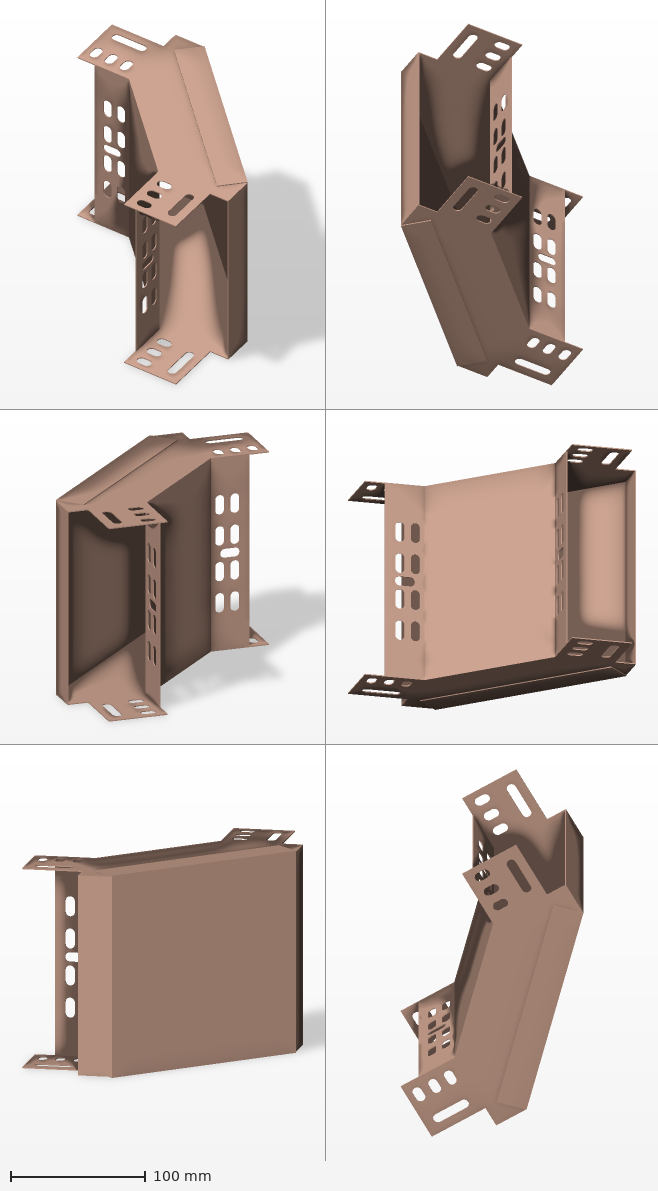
import cadquery as cq
import math

SPAN = 186.5
HEIGHT = 153.2
SHEET = 0.8

TAB_LENGTH = 45.9
TAB_WIDTH = 46.2
SHOULDER = 16.0
SIDE_WALL = 26.0
WALL_SETBACK = 15.3
FLANGE_DEPTH = 23.1

SLOT_WIDTH = 7.0
LONG_SLOT_LENGTH = 29.5
LONG_SLOT_START = 7.8
LONG_SLOT_INSET = 10.6
SHORT_SLOT_LENGTH = 12.0
SHORT_SLOT_INSET = 12.3
SHORT_SLOT_FIRST = 8.5
SHORT_SLOT_PITCH = 13.5
SHORT_SLOT_COUNT = 3
WALL_SLOT_LENGTH = 15.3
WALL_SLOT_COLUMNS = (26.8, 38.8)
WALL_SLOT_HEIGHTS = (-38.4, -14.0, 14.0, 38.4)
CENTRE_SLOT_MIDDLE = 30.8

PLATE_TOP = HEIGHT / 2 - SHEET
TAB_OUTER = SPAN - SHOULDER
TAB_INNER = TAB_OUTER - TAB_WIDTH
CORNER = TAB_LENGTH + SIDE_WALL
MITRE = SHEET * math.tan(math.radians(45 / 2))


def swapped(points):
    """Mirror points about the line X = Y, in reverse order to continue an outline."""
    return [(y, x) for x, y in reversed(points)]


def prism(points, bottom, top):
    return cq.Workplane("XY").workplane(offset=bottom).polyline(points).close().extrude(top - bottom)


def symmetric_prism(half_outline, bottom, top):
    return prism(half_outline + swapped(half_outline), bottom, top)


def mirrored_about_diagonal(solid):
    """Mirror a solid about the vertical plane X = Y."""
    half_turn = solid.rotate((0, 0, 0), (1, 1, 0), 180)
    return half_turn.mirror("XY")


def plate(bottom):
    """Elbow-shaped plate that fits inside the cover walls."""
    edge = SPAN - SHEET
    half_outline = [
        (TAB_LENGTH, TAB_INNER),
        (0, TAB_INNER),
        (0, TAB_OUTER),
        (TAB_LENGTH, TAB_OUTER),
        (TAB_LENGTH, edge),
        (CORNER - MITRE, edge),
    ]
    return symmetric_prism(half_outline, bottom, bottom + SHEET)


def inner_wall():
    """Wall along part of both tabs and the inner diagonal, joining the two plates."""
    half_outline = [
        (TAB_LENGTH, TAB_INNER),
        (WALL_SETBACK, TAB_INNER),
        (WALL_SETBACK, TAB_INNER + SHEET),
        (TAB_LENGTH + MITRE, TAB_INNER + SHEET),
    ]
    return symmetric_prism(half_outline, -PLATE_TOP, PLATE_TOP)


def plate_slots():
    """Cutters for the slots in both plates at the -X tab."""
    middle = LONG_SLOT_START + LONG_SLOT_LENGTH / 2
    row = [SHORT_SLOT_FIRST + i * SHORT_SLOT_PITCH for i in range(SHORT_SLOT_COUNT)]
    long_slot = (
        cq.Workplane("XY")
        .center(middle, TAB_OUTER - LONG_SLOT_INSET)
        .slot2D(LONG_SLOT_LENGTH, SLOT_WIDTH)
    )
    short_slots = (
        cq.Workplane("XY")
        .pushPoints([(x, TAB_INNER + SHORT_SLOT_INSET) for x in row])
        .slot2D(SHORT_SLOT_LENGTH, SLOT_WIDTH, 90)
    )
    return long_slot.extrude(HEIGHT / 2, both=True).union(short_slots.extrude(HEIGHT / 2, both=True))


def wall_slots():
    """Cutters for the slots in the inner wall of the -X tab."""
    upright_slots = (
        cq.Workplane("XZ", origin=(0, TAB_INNER, 0))
        .pushPoints([(x, z) for x in WALL_SLOT_COLUMNS for z in WALL_SLOT_HEIGHTS])
        .slot2D(WALL_SLOT_LENGTH, SLOT_WIDTH, 90)
    )
    level_slot = (
        cq.Workplane("XZ", origin=(CENTRE_SLOT_MIDDLE, TAB_INNER, 0))
        .slot2D(WALL_SLOT_LENGTH, SLOT_WIDTH)
    )
    reach = 2 * SHEET
    return upright_slots.extrude(reach, both=True).union(level_slot.extrude(reach, both=True))


def make_elbow():
    """Channel of two plates and the inner wall, with slotted tabs."""
    body = plate(PLATE_TOP - SHEET).union(plate(-PLATE_TOP)).union(inner_wall())
    for slots in (plate_slots(), wall_slots()):
        body = body.cut(slots).cut(mirrored_about_diagonal(slots))
    return body


def cover_wall():
    """Outer diagonal wall with a straight side wall at each end."""
    outer_side = [(TAB_LENGTH, SPAN), (CORNER, SPAN)]
    inner_side = [(TAB_LENGTH, SPAN - SHEET), (CORNER - MITRE, SPAN - SHEET)]
    half_outline = inner_side[::-1] + outer_side
    return symmetric_prism(half_outline, -PLATE_TOP, PLATE_TOP)


def cover_flange(bottom):
    """Rectangular flange lying on a plate along the diagonal."""
    shift = FLANGE_DEPTH / math.sqrt(2)
    half_outline = [(CORNER - shift, SPAN - shift), (CORNER, SPAN)]
    return symmetric_prism(half_outline, bottom, bottom + SHEET)


def make_cover():
    """Outer wall with a flange over each plate."""
    return cover_wall().union(cover_flange(PLATE_TOP)).union(cover_flange(-PLATE_TOP - SHEET))


elbow = make_elbow()
cover = make_cover()

result = cq.Compound.makeCompound([elbow.val(), cover.val()])